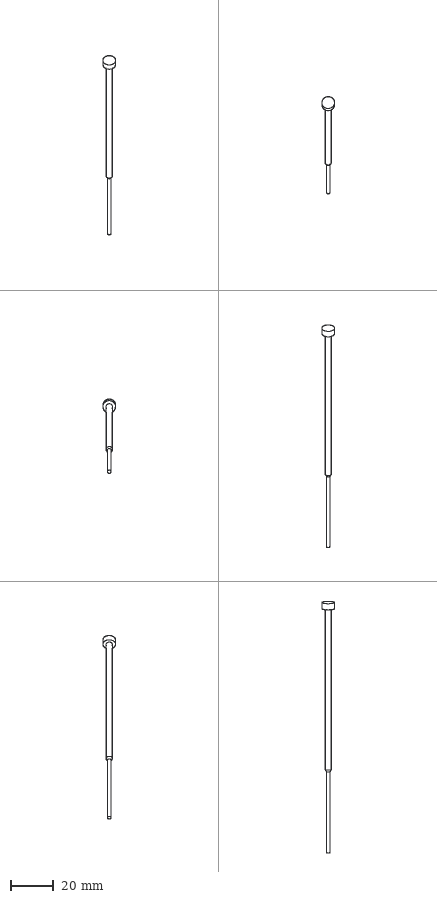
import cadquery as cq

total_length = 120.0
head_diameter = 6.0
head_height = 3.0
shank_diameter = 3.0
tip_diameter = 1.7
tip_length = 40.0
taper_height = 1.1

head_radius = head_diameter / 2
shank_radius = shank_diameter / 2
tip_radius = tip_diameter / 2
head_underside = total_length - head_height
taper_bottom = tip_length - taper_height

result = (
    cq.Workplane("XZ")
    .lineTo(tip_radius, 0)
    .lineTo(tip_radius, taper_bottom)
    .lineTo(shank_radius, tip_length)
    .lineTo(shank_radius, head_underside)
    .lineTo(head_radius, head_underside)
    .lineTo(head_radius, total_length)
    .lineTo(0, total_length)
    .close()
    .revolve(360, (0, 0, 0), (0, 1, 0))
)